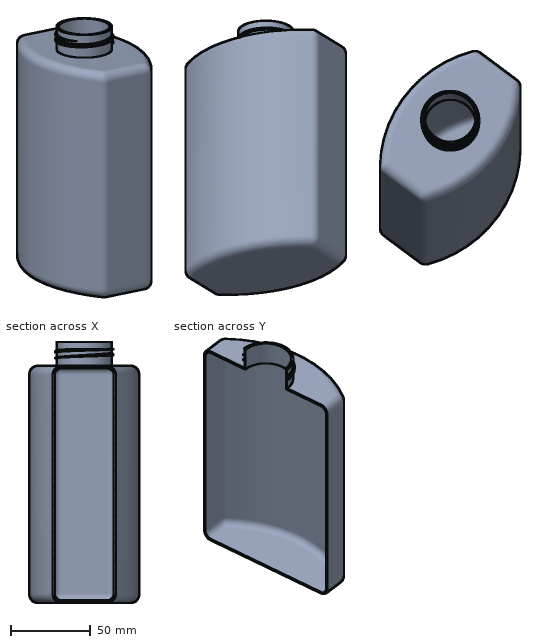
import cadquery as cq
import math

total_height = 165.0
width = 100.0
depth = 70.0
neck_height = 15.0
neck_diameter = 35.0
bore_diameter = 32.2
edge_radius = 5.8

body_height = total_height - neck_height
side_depth = depth / 2
wall = (neck_diameter - bore_diameter) / 2

neck_radius = neck_diameter / 2
thread_root_radius = 0.99 * neck_radius
thread_crest_radius = 1.05 * neck_radius
thread_turns = 1.72
thread_pitch = neck_height / 4
thread_root_height = 1.8
thread_crest_height = thread_root_height / 4
thread_start_angle = math.pi * (2 - thread_turns)
thread_start_z = body_height + (neck_height - thread_turns * thread_pitch) / 2
points_per_curve = 41


def make_bottle_blank():
    """Solid bottle: rounded body with two bowed sides, plus the neck."""
    body = (
        cq.Workplane("XY")
        .moveTo(-width / 2, -side_depth / 2)
        .threePointArc((0, -depth / 2), (width / 2, -side_depth / 2))
        .lineTo(width / 2, side_depth / 2)
        .threePointArc((0, depth / 2), (-width / 2, side_depth / 2))
        .close()
        .extrude(body_height)
        .edges()
        .fillet(edge_radius)
    )
    neck = cq.Workplane("XY").workplane(offset=body_height).circle(neck_radius).extrude(neck_height)
    return body.union(neck)


def make_hollow_bottle():
    """Bottle with an even wall all round, open at the top of the neck."""
    return make_bottle_blank().faces(">Z").shell(-wall)


def thread_curve(radius, rise):
    """Helix at the given radius, lifted by an arch of the given rise."""
    params = [i / (points_per_curve - 1) for i in range(points_per_curve)]
    points = []
    for t in params:
        angle = thread_start_angle + 2 * math.pi * thread_turns * t
        z = thread_start_z + thread_pitch * thread_turns * t + rise * math.sin(math.pi * t)
        points.append(cq.Vector(radius * math.cos(angle), radius * math.sin(angle), z))
    return cq.Edge.makeSpline(points, parameters=params)


def make_thread():
    """Thread rib bounded by four ruled faces, tapering to nothing in height at both ends."""
    root_lower = thread_curve(thread_root_radius, 0)
    root_upper = thread_curve(thread_root_radius, thread_root_height)
    crest_upper = thread_curve(thread_crest_radius, thread_crest_height)
    crest_lower = thread_curve(thread_crest_radius, 0)
    loop = [root_lower, root_upper, crest_upper, crest_lower]
    faces = [cq.Face.makeRuledSurface(a, b) for a, b in zip(loop, loop[1:] + loop[:1])]
    return cq.Workplane(obj=cq.Solid.makeSolid(cq.Shell.makeShell(faces)).fix())


thread = make_thread()
bottle = make_hollow_bottle().cut(thread)

result = cq.Compound.makeCompound([bottle.val(), thread.val()])